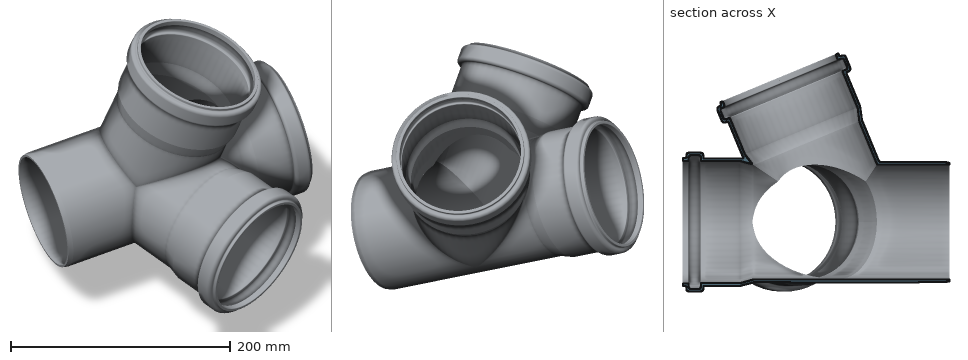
import cadquery as cq
branch_angle = 67.5
total_length = 243.5
mouth_distance = 142.4
spigot_distance = total_length - mouth_distance
pipe_diameter = 110.3
bore_diameter = 104.3
spigot_chamfer_length = 4.6
spigot_chamfer_depth = 1.0

socket_diameter = 116.8
socket_bore_diameter = 111.0
socket_depth = 52.6
taper_end_depth = 64.9

lip_diameter = 117.1
lip_bore_diameter = 111.3
lip_round = 0.5

collar_diameter = 127.2
collar_start = 3.0
collar_end = 19.0
collar_round = 3.0
collar_foot_fillet = 0.8

groove_diameter = 121.8
groove_wall = (collar_diameter - groove_diameter) / 2
groove_start = collar_start + groove_wall
groove_end = collar_end - groove_wall
groove_corner_round = 1.8
groove_edge_round = 0.8

match_tolerance = 0.01
joint_margin = 1.0

joint_fillet = 1.0
joint_trim = 1.0
joint_run = spigot_distance / 2


def ring(diameter, start_depth, end_depth):
    """Solid cylinder on the Y axis between two depths below the mouth."""
    return (
        cq.Workplane("XZ", origin=(0, mouth_distance - start_depth, 0))
        .circle(diameter / 2)
        .extrude(end_depth - start_depth)
    )


def tapered_rod(rod_diameter, socket_end_diameter, inner_end):
    """Rod along +Y from inner_end that widens through the taper and runs up to the collar end."""
    return (
        cq.Workplane("XY")
        .moveTo(0, inner_end)
        .lineTo(rod_diameter / 2, inner_end)
        .lineTo(rod_diameter / 2, mouth_distance - taper_end_depth)
        .lineTo(socket_end_diameter / 2, mouth_distance - socket_depth)
        .lineTo(socket_end_diameter / 2, mouth_distance - collar_end)
        .lineTo(0, mouth_distance - collar_end)
        .close()
        .revolve(360, (0, 0, 0), (0, 1, 0))
    )


def rounded_mouth():
    """Hollow of the lip, flaring out to the mouth with a rounded edge."""
    radius = lip_bore_diameter / 2
    return (
        cq.Workplane("XY")
        .moveTo(0, mouth_distance - groove_end)
        .lineTo(radius, mouth_distance - groove_end)
        .lineTo(radius, mouth_distance - lip_round)
        .radiusArc((radius + lip_round, mouth_distance), lip_round)
        .lineTo(0, mouth_distance)
        .close()
        .revolve(360, (0, 0, 0), (0, 1, 0))
    )


def fillet_circle(body, diameter, depth, fillet_radius):
    """Fillet the circular edge of the given diameter at the given depth below the mouth."""

    def is_wanted(edge):
        same_size = abs(edge.radius() - diameter / 2) < match_tolerance
        same_place = abs(edge.Center().y - (mouth_distance - depth)) < match_tolerance
        return same_size and same_place

    return body.edges("%CIRCLE").filter(is_wanted).fillet(fillet_radius)


def arm_outside(inner_end):
    """Outside of one arm along +Y: pipe, taper, socket, collar and lip."""
    collar = ring(collar_diameter, collar_start, collar_end).edges().fillet(collar_round)
    lip = ring(lip_diameter, 0, collar_end).faces(">Y").edges().fillet(lip_round)
    arm = tapered_rod(pipe_diameter, socket_diameter, inner_end).union(collar).union(lip)
    arm = fillet_circle(arm, lip_diameter, collar_start, collar_foot_fillet)
    return fillet_circle(arm, socket_diameter, collar_end, collar_foot_fillet)


def arm_inside(inner_end):
    """Hollow of one arm along +Y: pipe bore, taper, socket bore, seal groove and mouth."""
    groove = ring(groove_diameter, groove_start, groove_end).edges().fillet(groove_corner_round)
    socket_bore = tapered_rod(bore_diameter, socket_bore_diameter, inner_end)
    socket_bore = socket_bore.union(ring(socket_bore_diameter, groove_end, collar_end))
    cavity = socket_bore.union(groove).union(rounded_mouth()).clean()
    cavity = fillet_circle(cavity, lip_bore_diameter, groove_start, groove_edge_round)
    return fillet_circle(cavity, socket_bore_diameter, groove_end, groove_edge_round)


def lean_to_x(arm):
    """Swing an arm from +Y towards +X by the branch angle."""
    return arm.rotate((0, 0, 0), (0, 0, 1), -branch_angle)


def turn_x_to_z(body):
    """Quarter turn about the main axis that carries the X branch onto the Z branch."""
    return body.rotate((0, 0, 0), (0, 1, 0), -90)


def main_joint():
    """Filleted corner between the main pipe and the X branch, cut clear of the tangent points."""
    straight = tapered_rod(pipe_diameter, socket_diameter, -joint_run)
    branch = lean_to_x(tapered_rod(pipe_diameter, socket_diameter, 0))
    joint = straight.union(branch).intersect(
        cq.Workplane("XY")
        .box(mouth_distance, 2 * mouth_distance, pipe_diameter - 2 * joint_trim)
        .translate((mouth_distance / 2, 0, 0))
    )
    half_height = pipe_diameter / 2 - joint_trim - joint_margin
    corner = cq.selectors.BoxSelector(
        (joint_margin, -mouth_distance, -half_height),
        (mouth_distance, mouth_distance, half_height),
    )
    return joint.edges(corner).edges("%ELLIPSE or %BSPLINE").fillet(joint_fillet)


def branch_joint():
    """Filleted corner between the two branches."""
    branch = lean_to_x(tapered_rod(pipe_diameter, socket_diameter, 0))
    pair = branch.union(turn_x_to_z(branch))
    return pair.edges("%ELLIPSE").fillet(joint_fillet)


def spigot_chamfer():
    """Ring that bevels the outside of the spigot end."""
    radius = pipe_diameter / 2
    return (
        cq.Workplane("XY")
        .moveTo(radius, -spigot_distance + spigot_chamfer_length)
        .lineTo(radius, -spigot_distance)
        .lineTo(radius - spigot_chamfer_depth, -spigot_distance)
        .close()
        .revolve(360, (0, 0, 0), (0, 1, 0))
    )


def build_fitting():
    """Join the three arms and their filleted corners, then hollow them out."""
    x_branch = lean_to_x(arm_outside(0))
    x_hollow = lean_to_x(arm_inside(0))
    x_joint = main_joint()
    body = arm_outside(-spigot_distance).cut(spigot_chamfer())
    body = body.union(x_branch).union(turn_x_to_z(x_branch))
    body = body.union(x_joint).union(turn_x_to_z(x_joint)).union(branch_joint())
    body = body.cut(arm_inside(-spigot_distance))
    return body.cut(x_hollow).cut(turn_x_to_z(x_hollow))


result = build_fitting()